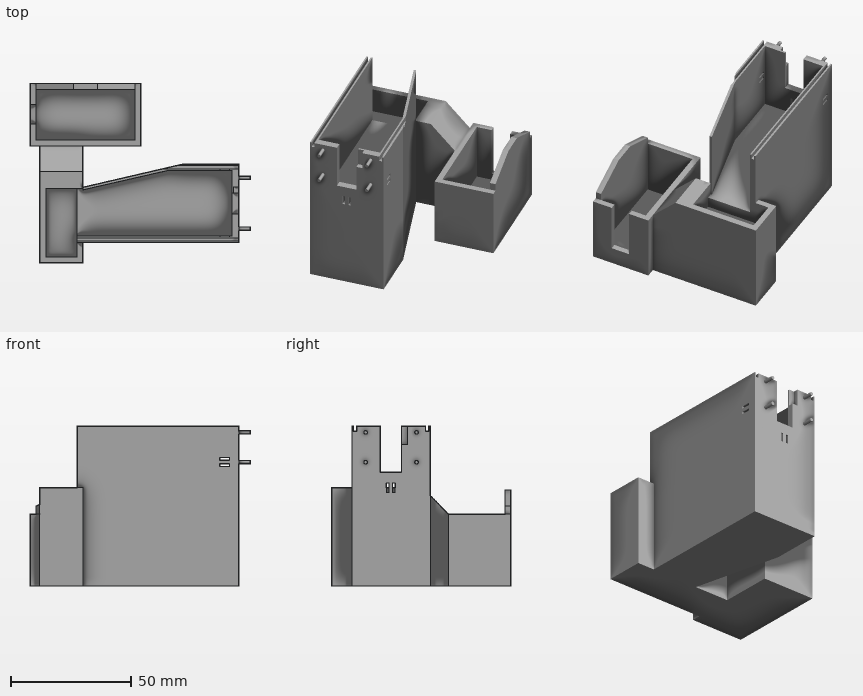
import cadquery as cq

TALL_HEIGHT = 66.59
BLOCK_HEIGHT = 41.0
BOX_HEIGHT = 30.0

BOX_LENGTH = 46.1
BOX_FRONT = 48.65
BOX_BACK = 74.75
BOX_LEFT_WALL = 2.4
BOX_WALL = 2.5
BOX_FLOOR = 5.0
BOX_SLOT_FRONT = 57.75
BOX_SLOT_WIDTH = 8.2
BOX_SLOT_BOTTOM = 8.0

PANEL_SHOULDER_HEIGHT = 33.3
PANEL_HEIGHT = 40.1
PANEL_TOP_LEFT = 18.0
PANEL_TOP_RIGHT = 28.1

BLOCK_LEFT = 4.0
BLOCK_RIGHT = 22.0
BLOCK_LEFT_WALL = 2.6
BLOCK_WALL = 2.4
BLOCK_SLOPE_START = 37.95
POCKET_LEFT = BLOCK_LEFT + BLOCK_LEFT_WALL
POCKET_RIGHT = BLOCK_RIGHT - BLOCK_WALL
POCKET_BACK = 31.0
POCKET_FLOOR = BOX_HEIGHT

TRAY_LEFT = POCKET_RIGHT
TRAY_RIGHT = 86.95
TRAY_FRONT = 8.45
TRAY_BACK = 41.15
TRAY_WALL = 2.65
TRAY_END_WALL = 2.95
TRAY_FLOOR = 35.0
TAPER_OUTER_START = 31.5
TAPER_INNER_START = 30.4
TAPER_OUTER_END = 63.6
TAPER_INNER_END = 57.5

GROOVE_WIDTH = 1.3
GROOVE_DEPTH = 2.1
GROOVE_LIP = (TRAY_WALL - GROOVE_WIDTH) / 2

END_SLOT_FRONT = 20.4
END_SLOT_BACK = 29.05
END_SLOT_BOTTOM = 47.5
RECESS_WIDTH = 2.6
RECESS_DEPTH = 2.15
RECESS_BOTTOM = 59.0

STRAP_LENGTH = 4.0
STRAP_WIDTH = 1.0
SIDE_STRAP_LEFT = 79.0
SIDE_STRAP_BOTTOMS = (49.9, 52.5)
END_STRAP_TOP = 42.9
END_STRAP_FRONTS = (22.9, 25.5)

PIN_DIAMETER = 1.5
PIN_TIP = 91.76
PIN_ROWS = (14.2, 35.4)
PIN_HEIGHTS = (51.6, 64.0)


def box(x_range, y_range, z_range):
    """Axis-aligned box spanning the three given ranges."""
    (x0, x1), (y0, y1), (z0, z1) = x_range, y_range, z_range
    return cq.Workplane("XY").box(x1 - x0, y1 - y0, z1 - z0, centered=False).translate((x0, y0, z0))


def rear_box():
    """Open box with a notched left wall and a raised back panel."""
    inner_left = BOX_LEFT_WALL
    inner_right = BOX_LENGTH - BOX_WALL
    inner_back = BOX_BACK - BOX_WALL
    shell = box((0, BOX_LENGTH), (BOX_FRONT, BOX_BACK), (0, BOX_HEIGHT))
    cavity = box((inner_left, inner_right), (BOX_FRONT + BOX_WALL, inner_back), (BOX_FLOOR, BOX_HEIGHT))
    slot = box(
        (0, inner_left),
        (BOX_SLOT_FRONT, BOX_SLOT_FRONT + BOX_SLOT_WIDTH),
        (BOX_SLOT_BOTTOM, BOX_HEIGHT),
    )
    panel = (
        cq.Workplane("XZ", origin=(0, BOX_BACK, 0))
        .polyline([
            (inner_left, BOX_FLOOR),
            (inner_left, PANEL_SHOULDER_HEIGHT),
            (PANEL_TOP_LEFT, PANEL_HEIGHT),
            (PANEL_TOP_RIGHT, PANEL_HEIGHT),
            (inner_right, PANEL_SHOULDER_HEIGHT),
            (inner_right, BOX_FLOOR),
        ])
        .close()
        .extrude(BOX_WALL)
    )
    return shell.cut(cavity).cut(slot).union(panel)


def connecting_block():
    """Solid block whose top slopes down to the rim of the rear box."""
    return (
        cq.Workplane("YZ", origin=(BLOCK_LEFT, 0, 0))
        .polyline([
            (0, 0),
            (BOX_FRONT, 0),
            (BOX_FRONT, BOX_HEIGHT),
            (BLOCK_SLOPE_START, BLOCK_HEIGHT),
            (0, BLOCK_HEIGHT),
        ])
        .close()
        .extrude(BLOCK_RIGHT - BLOCK_LEFT)
    )


def block_pocket():
    """Pocket of the connecting block, up to the side of the tray."""
    return box((POCKET_LEFT, POCKET_RIGHT), (BLOCK_WALL, POCKET_BACK), (POCKET_FLOOR, BLOCK_HEIGHT))


def tray_body():
    """Solid tray outline: straight front, tapered back."""
    return (
        cq.Workplane("XY")
        .polyline([
            (TRAY_LEFT, TRAY_FRONT),
            (TRAY_RIGHT, TRAY_FRONT),
            (TRAY_RIGHT, TRAY_BACK),
            (TAPER_OUTER_END, TRAY_BACK),
            (BLOCK_RIGHT, TAPER_OUTER_START),
            (BLOCK_RIGHT, POCKET_BACK),
            (TRAY_LEFT, POCKET_BACK),
        ])
        .close()
        .extrude(TALL_HEIGHT)
    )


def tray_cavity():
    """Space above the tray floor, open towards the connecting block."""
    inner_front = TRAY_FRONT + TRAY_WALL
    inner_back = TRAY_BACK - TRAY_WALL
    inner_right = TRAY_RIGHT - TRAY_END_WALL
    main = (
        cq.Workplane("XY", origin=(0, 0, TRAY_FLOOR))
        .polyline([
            (BLOCK_RIGHT, inner_front),
            (inner_right, inner_front),
            (inner_right, inner_back),
            (TAPER_INNER_END, inner_back),
            (BLOCK_RIGHT, TAPER_INNER_START),
        ])
        .close()
        .extrude(TALL_HEIGHT - TRAY_FLOOR)
    )
    mouth = box((TRAY_LEFT, BLOCK_RIGHT), (inner_front, POCKET_BACK), (TRAY_FLOOR, TALL_HEIGHT))
    return main.union(mouth)


def lid_grooves():
    """Two grooves along X in the tops of the front and back tray walls."""
    front_start = TRAY_FRONT + GROOVE_LIP
    back_start = TRAY_BACK - GROOVE_LIP - GROOVE_WIDTH
    grooves = cq.Workplane("XY")
    for start in (front_start, back_start):
        grooves = grooves.union(box(
            (TRAY_LEFT, TRAY_RIGHT),
            (start, start + GROOVE_WIDTH),
            (TALL_HEIGHT - GROOVE_DEPTH, TALL_HEIGHT),
        ))
    return grooves


def end_wall_openings():
    """Open-topped slot in the end wall and the shallow recess beside it."""
    slot = box(
        (TRAY_RIGHT - TRAY_END_WALL, TRAY_RIGHT),
        (END_SLOT_FRONT, END_SLOT_BACK),
        (END_SLOT_BOTTOM, TALL_HEIGHT),
    )
    recess = box(
        (TRAY_RIGHT - RECESS_DEPTH, TRAY_RIGHT),
        (END_SLOT_BACK, END_SLOT_BACK + RECESS_WIDTH),
        (RECESS_BOTTOM, TALL_HEIGHT),
    )
    return slot.union(recess)


def strap_slots():
    """Slot pairs through the front and back walls and through the end wall."""
    slots = cq.Workplane("XY")
    for bottom in SIDE_STRAP_BOTTOMS:
        slots = slots.union(box(
            (SIDE_STRAP_LEFT, SIDE_STRAP_LEFT + STRAP_LENGTH),
            (TRAY_FRONT, TRAY_BACK),
            (bottom, bottom + STRAP_WIDTH),
        ))
    for front in END_STRAP_FRONTS:
        slots = slots.union(box(
            (TRAY_RIGHT - TRAY_END_WALL, TRAY_RIGHT),
            (front, front + STRAP_WIDTH),
            (END_STRAP_TOP - STRAP_LENGTH, END_STRAP_TOP),
        ))
    return slots


def pins():
    """Four round pins standing out of the end wall along +X."""
    positions = [(y, z) for y in PIN_ROWS for z in PIN_HEIGHTS]
    pin_base = TRAY_RIGHT - TRAY_END_WALL
    return (
        cq.Workplane("YZ", origin=(pin_base, 0, 0))
        .pushPoints(positions)
        .circle(PIN_DIAMETER / 2)
        .extrude(PIN_TIP - pin_base)
    )


result = (
    connecting_block()
    .cut(block_pocket())
    .union(tray_body())
    .cut(tray_cavity())
    .cut(lid_grooves())
    .cut(end_wall_openings())
    .cut(strap_slots())
    .union(pins())
    .union(rear_box())
)